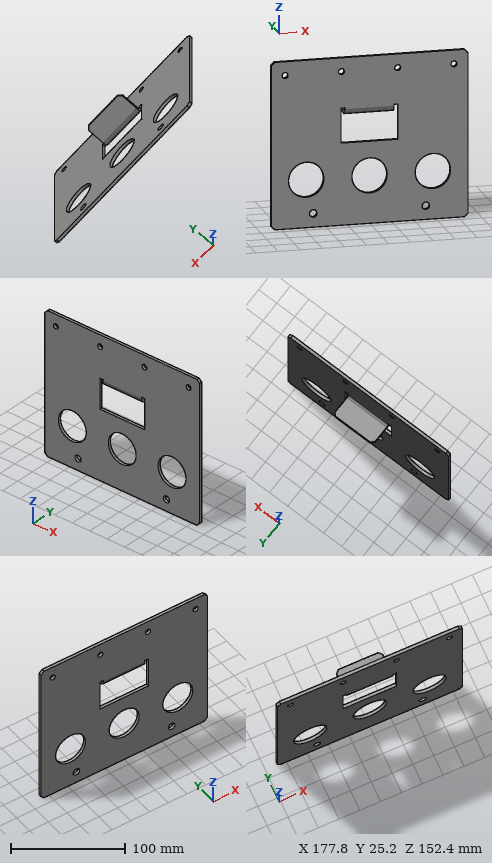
import cadquery as cq
import math

width = 177.8
height = 152.4
thickness = 3.0
corner_chamfer = 3.2

hole_pitch = 50.9
hole_row_z = 63.7
top_hole_diameter = 5.3
bottom_hole_diameter = 6.8

opening_diameter = 31.8
opening_pitch = 57.3
opening_z = -32.5

window_width = 51.4
window_top = 30.5
window_bottom = -1.5

tab_width = 44.3
tab_reach = 25.2
tab_chamfer = 3.0
tab_tilt = math.radians(5)
bend_start_z = 28.8
bend_inner_radius = 1.8
bend_outer_radius = bend_inner_radius + thickness


def through_holes(diameter, positions):
    """Cylinders along Y that pass through the plate."""
    return (
        cq.Workplane("XZ")
        .pushPoints(positions)
        .circle(diameter / 2)
        .extrude(-thickness)
    )


def make_plate():
    top_holes = [(i * hole_pitch, hole_row_z) for i in (-1.5, -0.5, 0.5, 1.5)]
    bottom_holes = [(i * hole_pitch, -hole_row_z) for i in (-1, 1)]
    openings = [(i * opening_pitch, opening_z) for i in (-1, 0, 1)]
    window = (
        cq.Workplane("XZ")
        .center(0, (window_top + window_bottom) / 2)
        .rect(window_width, window_top - window_bottom)
        .extrude(-thickness)
    )
    return (
        cq.Workplane("XZ")
        .rect(width, height)
        .extrude(-thickness)
        .edges("|Y")
        .chamfer(corner_chamfer)
        .cut(through_holes(top_hole_diameter, top_holes))
        .cut(through_holes(bottom_hole_diameter, bottom_holes))
        .cut(through_holes(opening_diameter, openings))
        .cut(window)
    )


def bend_point(radius, angle):
    """(Y, Z) on the bend; the angle runs from the plate toward the tab."""
    return (
        bend_outer_radius - radius * math.cos(angle),
        bend_start_z - radius * math.sin(angle),
    )


def make_tab():
    bend_angle = math.pi / 2 + tab_tilt
    outer_end = bend_point(bend_outer_radius, bend_angle)
    inner_end = bend_point(bend_inner_radius, bend_angle)

    flat_length = (tab_reach - outer_end[0]) / math.cos(tab_tilt)
    run = flat_length * math.cos(tab_tilt)
    rise = flat_length * math.sin(tab_tilt)

    tab = (
        cq.Workplane("YZ")
        .moveTo(0, window_top)
        .lineTo(0, bend_start_z)
        .threePointArc(bend_point(bend_outer_radius, bend_angle / 2), outer_end)
        .lineTo(outer_end[0] + run, outer_end[1] + rise)
        .lineTo(inner_end[0] + run, inner_end[1] + rise)
        .lineTo(*inner_end)
        .threePointArc(
            bend_point(bend_inner_radius, bend_angle / 2),
            (thickness, bend_start_z),
        )
        .lineTo(thickness, window_top)
        .close()
        .extrude(tab_width / 2, both=True)
    )
    tip_edges = tab.faces(">Y").edges("not |X")
    return tip_edges.chamfer(tab_chamfer)


result = make_plate().union(make_tab())